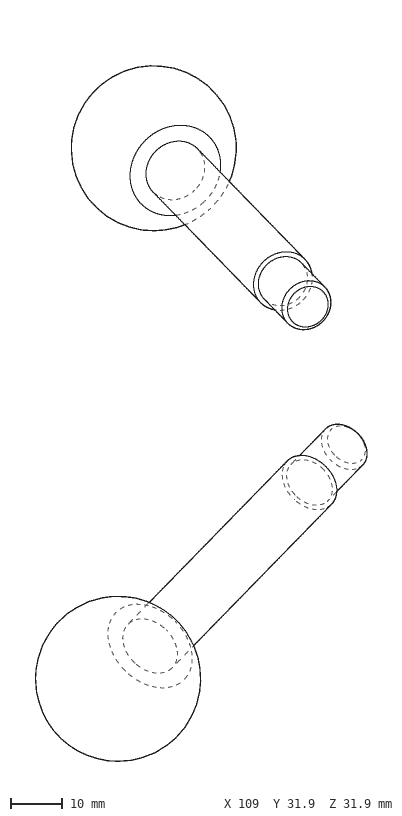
import cadquery as cq

total_length = 109.0

ball_diameter = 31.9
ball_length = 29.0

shaft_diameter = 12.0
end_diameter = 10.0
end_length = 15.0
end_chamfer = 0.9

ball_radius = ball_diameter / 2
flat_offset = ball_length - ball_radius
shaft_start = ball_radius
end_start = total_length - end_length


def rod(diameter, start, stop):
    """Cylinder along X between two positions."""
    return cq.Workplane("YZ", origin=(start, 0, 0)).circle(diameter / 2).extrude(stop - start)


def make_ball():
    """Sphere with its pole at X = 0 and a flat facing +X."""
    flat_radius = (ball_radius**2 - flat_offset**2) ** 0.5
    return (
        cq.Workplane("XY")
        .moveTo(0, 0)
        .threePointArc((ball_radius, ball_radius), (ball_length, flat_radius))
        .lineTo(ball_length, 0)
        .close()
        .revolve(360, (0, 0, 0), (1, 0, 0))
    )


ball = make_ball()
shaft = rod(shaft_diameter, shaft_start, end_start)
reduced_end = rod(end_diameter, end_start, total_length).faces(">X").chamfer(end_chamfer)

result = ball.union(shaft).union(reduced_end)